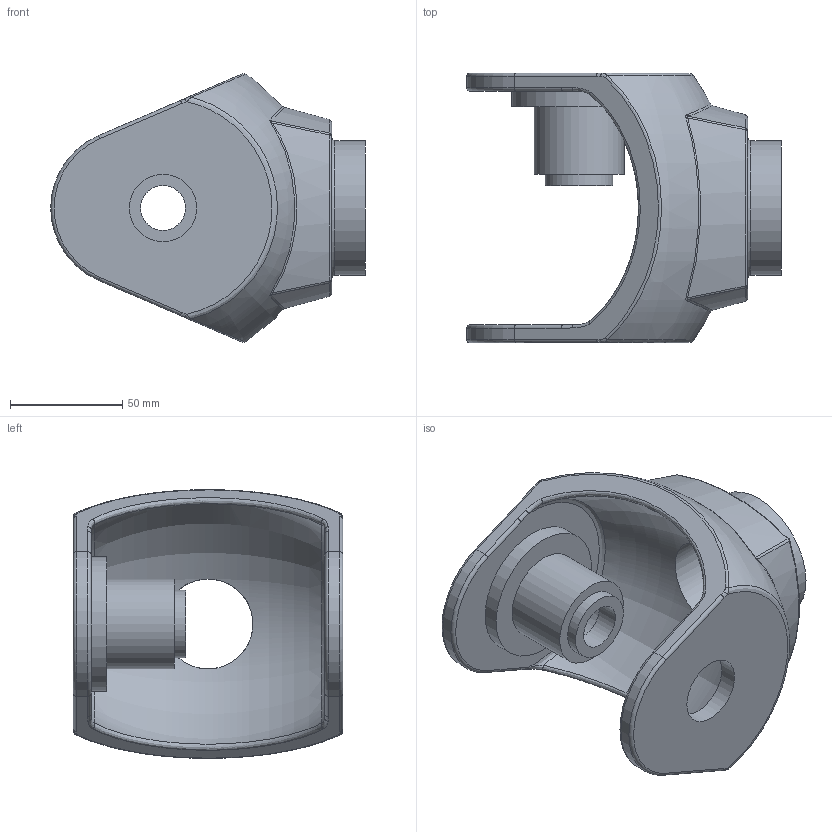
import cadquery as cq
import math


half_width = 60.0
cheek_wall = 8.0
barrel_wall = 10.0
barrel_radius = 70.0
crown_radius = 100.0
shoulder_fillet = 3.0
edge_fillet = 1.5

tip_radius = 35.0
tip_center_x = -15.0
shell_top_z = 60.0

hub_face_x = 75.0
hub_root_x = 40.0
hub_draft = 15.0
hub_cheek_arc = 90.0
hub_flank_arc = 100.0
hub_half_width = 41.4
hub_half_height = 39.3
spigot_radius = 30.0
spigot_end_x = 90.0
spigot_bore_radius = 20.0

pin_steps = [(30.0, 45.0), (20.0, 15.0), (15.0, 10.0)]
pin_bore_radius = 10.0
counterbore_radius = 15.0
counterbore_floor_y = 20.0
cheek_hole_radius = 15.0

inner_half_width = half_width - cheek_wall
cheek_split_x = -10.0
margin = 10.0
clearance = 1.0
tolerance = 0.001
right_end_x = barrel_radius + margin
left_end_x = tip_center_x - tip_radius - margin


def barrel(max_radius, arc_radius, half_length):
    """Barrel about Y with flat ends."""
    end_radius = max_radius - arc_radius + math.sqrt(arc_radius**2 - half_length**2)
    return (
        cq.Workplane("XY")
        .moveTo(0, -half_length)
        .lineTo(end_radius, -half_length)
        .threePointArc((max_radius, 0), (end_radius, half_length))
        .lineTo(0, half_length)
        .close()
        .revolve(360, (0, 0, 0), (0, 1, 0))
    )


def extend_left(body, half_length):
    """Carry a barrel on toward -X as a straight block, a little taller than the cheeks."""
    length = cheek_split_x - left_end_x
    height = 2 * (flank_height(cheek_split_x) + clearance)
    block = cq.Workplane("XY").box(length, 2 * half_length, height, centered=(False, True, True))
    return body.union(block.translate((left_end_x, 0, 0)))


def flank_angle():
    """Slope of the flank tangent to the tip circle through the top of the shell."""
    top_x = math.sqrt(barrel_radius**2 - shell_top_z**2)
    run = top_x - tip_center_x
    return math.atan2(shell_top_z, run) - math.asin(tip_radius / math.hypot(run, shell_top_z))


def flank_height(x):
    """Height Z of the upper flank at a given X."""
    slope = flank_angle()
    return tip_radius / math.cos(slope) + (x - tip_center_x) * math.tan(slope)


def outline_prism():
    """Side outline: rounded tip with two flanks opening toward +X."""
    slope = flank_angle()
    tangent_x = tip_center_x - tip_radius * math.sin(slope)
    tangent_z = tip_radius * math.cos(slope)
    end_z = flank_height(right_end_x)
    return (
        cq.Workplane("XZ")
        .moveTo(right_end_x, -end_z)
        .lineTo(tangent_x, -tangent_z)
        .threePointArc((tip_center_x - tip_radius, 0), (tangent_x, tangent_z))
        .lineTo(right_end_x, end_z)
        .close()
        .extrude(half_width + margin, both=True)
    )


def shoulder_edges(body):
    """Arcs where the barrel meets the flat cheek faces."""
    arcs = []
    for edge in body.edges().vals():
        box = edge.BoundingBox()
        if box.ylen < tolerance and box.zmin * box.zmax < 0 and box.xmax > 0:
            arcs.append(edge)
    return arcs


def rim_edges(body, max_half_width):
    """Edges where the cheek outline meets the shell, within the given half width."""
    kept = []
    for edge in body.edges().vals():
        box = edge.BoundingBox()
        runs_along_y = box.xlen < tolerance
        on_flank = box.zmin * box.zmax > 0 and box.xmax < hub_root_x
        on_tip = box.xmax < 0
        within_width = max(abs(box.ymin), abs(box.ymax)) < max_half_width + tolerance
        if within_width and not runs_along_y and (on_flank or on_tip):
            kept.append(edge)
    return kept


def fillet_rim(body, max_half_width):
    return body.newObject(rim_edges(body, max_half_width)).fillet(edge_fillet)


def make_cavity():
    """Space between the cheeks, open toward -X."""
    body = barrel(barrel_radius - barrel_wall, crown_radius - barrel_wall, inner_half_width)
    body = body.faces("<Y or >Y").edges().fillet(shoulder_fillet)
    return extend_left(body, inner_half_width)


def make_shell():
    body = extend_left(barrel(barrel_radius, crown_radius, half_width), half_width)
    body = body.intersect(outline_prism())
    body = body.newObject(shoulder_edges(body)).fillet(shoulder_fillet)
    return fillet_rim(body, half_width)


def drafted_cone(center_y, center_z, face_radius):
    return (
        cq.Workplane("YZ", origin=(hub_face_x, 0, 0))
        .center(center_y, center_z)
        .circle(face_radius)
        .extrude(hub_root_x - hub_face_x, taper=-hub_draft)
    )


def make_hub():
    """Hub bounded by four overlapping drafted cones, one for each bulging side."""
    offset_y = hub_half_width - hub_cheek_arc
    offset_z = hub_half_height - hub_flank_arc
    return (
        drafted_cone(offset_y, 0, hub_cheek_arc)
        .intersect(drafted_cone(-offset_y, 0, hub_cheek_arc))
        .intersect(drafted_cone(0, offset_z, hub_flank_arc))
        .intersect(drafted_cone(0, -offset_z, hub_flank_arc))
    )


def hub_edges(body):
    """Edges of the hub: its root, its corners and the border of its face."""
    inside = []
    for edge in body.edges().vals():
        box = edge.BoundingBox()
        half_y = max(abs(box.ymin), abs(box.ymax))
        if box.xmin > hub_root_x and half_y < inner_half_width:
            inside.append(edge)
    return inside


def add_hub(shell):
    body = shell.union(make_hub())
    return body.newObject(hub_edges(body)).fillet(edge_fillet)


def x_cylinder(radius, x_start, x_end):
    return cq.Workplane("YZ", origin=(x_start, 0, 0)).circle(radius).extrude(x_end - x_start)


def y_cylinder(radius, y_start, y_end):
    return cq.Workplane("XZ", origin=(0, y_start, 0)).circle(radius).extrude(y_start - y_end)


def add_spigot(body):
    """Spigot with a rounded root, bored through into the cavity."""
    body = body.union(x_cylinder(spigot_radius, hub_face_x - margin, spigot_end_x))
    body = body.edges(
        cq.selectors.BoxSelector(
            (hub_face_x - tolerance, -spigot_radius - clearance, -spigot_radius - clearance),
            (hub_face_x + tolerance, spigot_radius + clearance, spigot_radius + clearance),
            boundingbox=True,
        )
    ).fillet(edge_fillet)
    return body.cut(x_cylinder(spigot_bore_radius, 0, spigot_end_x))


def add_pin(body):
    """Stepped pin on the +Y cheek, bored through and counterbored from outside."""
    cheek_middle_y = half_width - cheek_wall / 2
    for radius, end_y in pin_steps:
        body = body.union(y_cylinder(radius, end_y, cheek_middle_y))
    body = body.cut(y_cylinder(pin_bore_radius, 0, half_width))
    return body.cut(y_cylinder(counterbore_radius, counterbore_floor_y, half_width))


body = add_hub(make_shell())
body = body.cut(make_cavity())
body = fillet_rim(body, inner_half_width)
body = add_spigot(body)
body = add_pin(body)
result = body.cut(y_cylinder(cheek_hole_radius, -half_width, -inner_half_width))